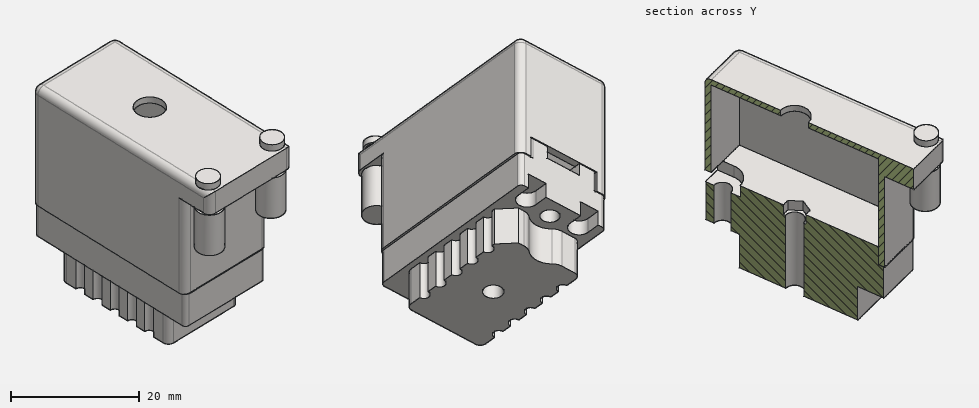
import cadquery as cq
import math

PLUG_HEIGHT = 6.9
RIM_LEVEL = 13.25
INSERT_TOP = 17.05
FLANGE_UNDERSIDE = 31.95
HOOD_TOP = 36.25
OVERALL_HEIGHT = 37.5

OVERALL_LENGTH = 39.12
HOOD_LENGTH = 33.65
HOOD_WIDTH = 18.15
HOOD_ROUNDING = 1.3
WALL = 1.2
ACCESS_HOLE_DIAMETER = 5.15
TAB_WIDTH = 13.45

SCREW_SPACING = 14.0
SCREW_HEAD_DIAMETER = 3.87
SCREW_SHAFT_DIAMETER = 3.13
SLEEVE_DIAMETER = 4.77
SLEEVE_BOTTOM = 23.55
SLEEVE_TOP = 31.5
SLEEVE_SPACING = HOOD_WIDTH - SLEEVE_DIAMETER

BASE_INSET_X = 0.15
BASE_INSET_Y = 0.35
BASE_CORNER_RADIUS = 0.8
TAB_CORNER_RADIUS = 0.45
JACKSCREW_HOLE_DIAMETER = 3.33
HEX_ACROSS_FLATS = 4.15
HEX_DEPTH = 1.95

SEAT_CENTRE_X = 3.33
SEAT_WIDTH = 6.57
SEAT_DEPTH = 2.3
SEAT_HOLE_DIAMETER = 3.13

KEY_SLOT_SPACING = 10.68
KEY_SLOT_WIDTH = 3.6
KEY_SLOT_HEIGHT = 2.75
KEY_SLOT_CENTRE_X = 2.6

PLUG_LENGTH = 23.63
PLUG_WIDTH = 15.35
PLUG_CORNER_RADIUS = 1.15
PLUG_CHAMFER = 2.62
RIB_GROOVE_COUNT = 5
RIB_GROOVE_PITCH = 3.8
RIB_GROOVE_DIAMETER = 1.95
RELIEF_RADIUS = 3.52
RELIEF_LIP_RADIUS = 2.35
RELIEF_HALF_WIDTH = 3.87

CENTRE_X = HOOD_LENGTH / 2
SCREW_X = OVERALL_LENGTH - SLEEVE_DIAMETER / 2
PLUG_LEFT = CENTRE_X - PLUG_LENGTH / 2
PLUG_RIGHT = CENTRE_X + PLUG_LENGTH / 2


def block(x_min, x_max, width, z_min, z_max):
    """Box centred on y = 0."""
    return cq.Workplane("XY").box(
        x_max - x_min, width, z_max - z_min, centered=(False, True, False)
    ).translate((x_min, 0, z_min))


def cylinder(x, y, diameter, z_min, z_max):
    return cq.Workplane("XY", origin=(x, y, z_min)).circle(diameter / 2).extrude(z_max - z_min)


def open_slot(end_centre_x, y, width, z_min, z_max):
    """Slot that is open towards -X and ends in a half circle."""
    straight = block(0, end_centre_x, width, z_min, z_max).translate((0, y, 0))
    return straight.union(cylinder(end_centre_x, y, width, z_min, z_max))


def cavity_block(top):
    """Block that fills the hood's cavity from its open rim up to the given level."""
    return block(WALL, HOOD_LENGTH - WALL, HOOD_WIDTH - 2 * WALL, RIM_LEVEL, top)


def tab():
    """Tongue of the insert that fills the window in the hood's -X wall."""
    tongue = block(BASE_INSET_X, WALL, TAB_WIDTH, RIM_LEVEL, INSERT_TOP)
    return tongue.edges("|Z and <X").fillet(TAB_CORNER_RADIUS)


def hood_shell():
    case = block(0, HOOD_LENGTH, HOOD_WIDTH, RIM_LEVEL, HOOD_TOP)
    case = case.edges("|Z").fillet(HOOD_ROUNDING)
    flange = block(0, OVERALL_LENGTH, HOOD_WIDTH, FLANGE_UNDERSIDE, HOOD_TOP)
    flange = flange.edges("|Z").fillet(HOOD_ROUNDING)
    rounded = block(0, OVERALL_LENGTH + HOOD_ROUNDING, HOOD_WIDTH, RIM_LEVEL, HOOD_TOP)
    rounded = rounded.edges("|Z and <X").fillet(HOOD_ROUNDING)
    rounded = rounded.faces(">Z").edges("not >X").fillet(HOOD_ROUNDING)
    return case.union(flange).intersect(rounded)


def captive_screw(side):
    """Head and shaft on one axis, with a sleeve that stays flush with the hood's side."""
    screw_y = side * SCREW_SPACING / 2
    head = cylinder(SCREW_X, screw_y, SCREW_HEAD_DIAMETER, HOOD_TOP, OVERALL_HEIGHT)
    shaft = cylinder(SCREW_X, screw_y, SCREW_SHAFT_DIAMETER, SLEEVE_TOP, HOOD_TOP)
    sleeve_y = side * SLEEVE_SPACING / 2
    sleeve = cylinder(SCREW_X, sleeve_y, SLEEVE_DIAMETER, SLEEVE_BOTTOM, SLEEVE_TOP)
    return head.union(shaft).union(sleeve)


def make_hood():
    window = block(0, WALL, TAB_WIDTH, RIM_LEVEL, INSERT_TOP)
    hood = hood_shell().cut(cavity_block(HOOD_TOP - WALL)).cut(window)
    hood = hood.cut(cylinder(CENTRE_X, 0, ACCESS_HOLE_DIAMETER, INSERT_TOP, HOOD_TOP))
    for side in (-1, 1):
        hood = hood.union(captive_screw(side))
    return hood


def make_plug():
    plug = block(PLUG_LEFT, PLUG_RIGHT, PLUG_WIDTH, 0, PLUG_HEIGHT)
    plug = plug.edges("|Z and <X and >Y").chamfer(PLUG_CHAMFER)
    plug = plug.edges("|Z and (<Y or >X)").fillet(PLUG_CORNER_RADIUS)
    middle = (RIB_GROOVE_COUNT - 1) / 2
    for index in range(RIB_GROOVE_COUNT):
        x = CENTRE_X + (index - middle) * RIB_GROOVE_PITCH
        for side in (-1, 1):
            plug = plug.cut(cylinder(x, side * PLUG_WIDTH / 2, RIB_GROOVE_DIAMETER, 0, PLUG_HEIGHT))
    return plug.cut(screw_relief())


def screw_relief():
    """Hollow in the plug's -X side, blended into the flat face by rounded lips."""
    reach = RELIEF_RADIUS + RELIEF_LIP_RADIUS
    lip_angle = math.asin(RELIEF_HALF_WIDTH / reach)
    lip_x = PLUG_LEFT + RELIEF_LIP_RADIUS
    hollow_bottom_x = lip_x - reach * math.cos(lip_angle) + RELIEF_RADIUS

    def lip_point(angle, side):
        """Point on a lip, at an angle from the -X direction towards y = 0."""
        x = lip_x - RELIEF_LIP_RADIUS * math.cos(angle)
        y = RELIEF_HALF_WIDTH - RELIEF_LIP_RADIUS * math.sin(angle)
        return (x, side * y)

    return (
        cq.Workplane("XY")
        .moveTo(*lip_point(0, -1))
        .threePointArc(lip_point(lip_angle / 2, -1), lip_point(lip_angle, -1))
        .threePointArc((hollow_bottom_x, 0), lip_point(lip_angle, 1))
        .threePointArc(lip_point(lip_angle / 2, 1), lip_point(0, 1))
        .close()
        .extrude(PLUG_HEIGHT)
    )


def make_insert():
    base_width = HOOD_WIDTH - 2 * BASE_INSET_Y
    base = block(BASE_INSET_X, HOOD_LENGTH - BASE_INSET_X, base_width, PLUG_HEIGHT, RIM_LEVEL)
    base = base.edges("|Z").fillet(BASE_CORNER_RADIUS)
    for side in (-1, 1):
        y = side * KEY_SLOT_SPACING / 2
        slot_top = PLUG_HEIGHT + KEY_SLOT_HEIGHT
        base = base.cut(open_slot(KEY_SLOT_CENTRE_X, y, KEY_SLOT_WIDTH, PLUG_HEIGHT, slot_top))
    insert = base.union(cavity_block(INSERT_TOP)).union(tab()).union(make_plug())

    seat_floor = INSERT_TOP - SEAT_DEPTH
    insert = insert.cut(open_slot(SEAT_CENTRE_X, 0, SEAT_WIDTH, seat_floor, INSERT_TOP))
    insert = insert.cut(cylinder(SEAT_CENTRE_X, 0, SEAT_HOLE_DIAMETER, 0, seat_floor))

    insert = insert.cut(cylinder(CENTRE_X, 0, JACKSCREW_HOLE_DIAMETER, 0, INSERT_TOP))
    across_corners = HEX_ACROSS_FLATS / math.cos(math.pi / 6)
    hexagon = cq.Workplane("XY").polygon(6, across_corners).extrude(HEX_DEPTH)
    hexagon = hexagon.rotate((0, 0, 0), (0, 0, 1), 90)
    return insert.cut(hexagon.translate((CENTRE_X, 0, INSERT_TOP - HEX_DEPTH)))


hood = make_hood()
insert = make_insert()

result = cq.Compound.makeCompound([hood.val(), insert.val()])